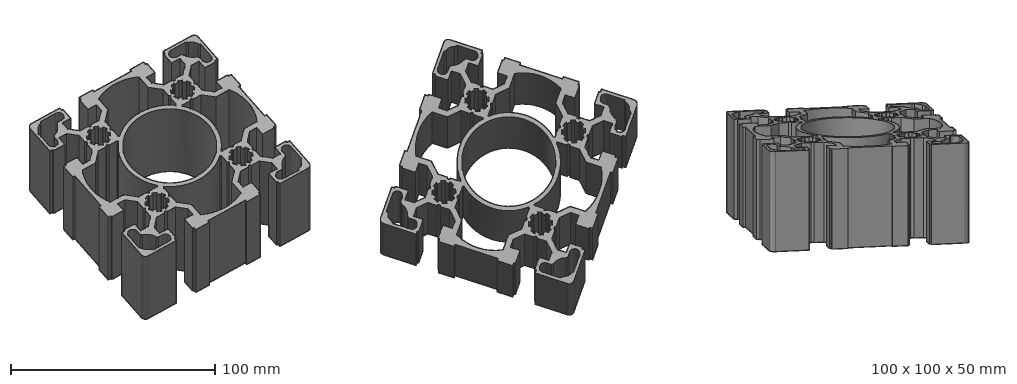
import cadquery as cq
import math

side = 100.0
length = 50.0
half = side / 2
core_offset = side / 4
outer_corner_radius = 2.4

mouth_half = 5.0
mouth_step_half = 5.8
mouth_step_depth = 1.6
slot_half = 10.0
corner_lip_depth = 8.3
middle_lip_depth = 8.6

core_width = 15.5
core_half = core_width / 2
web_thickness = 3.0
web_reach = web_thickness / math.sqrt(2)
groove_radius = 0.8
core_hole_radius = 5.9
core_tip_radius = 4.9
core_tooth_width = 2.2
core_tooth_count = 8

bore_diameter = 46.0
tube_radius = 25.3

chamber_half = 12.0
chamber_depth = 3.2
chamber_roof_radius = 25.2
recess_half = 11.1
recess_depth = 1.2

pocket_wall = 1.6
pocket_arm_width = 5.1
pocket_reach = 18.2
pocket_knee = 13.1
pocket_outer_start = 6.8
pocket_inner_flat = 1.2
pocket_inner_bulge = 0.8
pocket_outer_flat = 1.4
pocket_outer_bulge = 0.6


def prism(outline):
    """Extrude an open outline over the full length, closing it first."""
    return outline.close().extrude(length)


def on_all_sides(body):
    """Return the body together with its copies on the other three sides."""
    copies = body
    for quarter in range(1, 4):
        copies = copies.union(body.rotate((0, 0, 0), (0, 0, 1), 90 * quarter))
    return copies


def t_slots():
    """Two mirrored slots open to the +Y face, each with its thicker lip towards the middle."""
    floor = core_offset + core_half
    floor_half = core_half - web_reach
    shoulder = core_offset + slot_half + web_reach
    step = half - mouth_step_depth
    right_edge = [
        (groove_radius, floor),
        (floor_half, floor),
        (slot_half, shoulder),
        (slot_half, half - corner_lip_depth),
        (mouth_half, half - corner_lip_depth),
        (mouth_half, step),
        (mouth_step_half, step),
        (mouth_step_half, half),
    ]
    left_edge = [
        (-mouth_step_half, half),
        (-mouth_step_half, step),
        (-mouth_half, step),
        (-mouth_half, half - middle_lip_depth),
        (-slot_half, half - middle_lip_depth),
        (-slot_half, shoulder),
        (-floor_half, floor),
        (-groove_radius, floor),
    ]
    outline = cq.Workplane("XY").polyline(right_edge + left_edge)
    outline = outline.threePointArc((0, floor - groove_radius), right_edge[0])
    slot = prism(outline).translate((core_offset, 0, 0))
    return slot.union(slot.mirror("YZ"))


def side_chamber():
    """Chamber behind the middle of the +Y side; the tube later fills its inner end."""
    wall = core_offset - core_half
    bend = core_half - web_reach
    roof = half - chamber_depth
    roof_drop = chamber_roof_radius - math.sqrt(chamber_roof_radius**2 - chamber_half**2)
    right_edge = [
        (0, web_reach),
        (wall, core_offset - bend),
        (wall, core_offset + bend),
        (chamber_half, 2 * core_offset - chamber_half - web_reach),
        (chamber_half, roof - roof_drop),
    ]
    left_edge = [(-x, y) for x, y in reversed(right_edge[1:])]
    outline = cq.Workplane("XY").polyline(right_edge)
    outline = outline.threePointArc((0, roof), left_edge[0])
    for point in left_edge[1:]:
        outline = outline.lineTo(*point)
    groove_places = [(-wall, core_offset), (wall, core_offset)]
    grooves = cq.Workplane("XY").pushPoints(groove_places).circle(groove_radius).extrude(length)
    return prism(outline).union(grooves)


def side_recess():
    """Shallow recess along the middle of the +Y face."""
    recess = cq.Workplane("XY").rect(2 * recess_half, 2 * recess_depth).extrude(length)
    return recess.translate((0, half, 0))


def corner_pocket():
    """L-shaped pocket with rounded arm ends in the +X +Y corner."""
    arm_radius = pocket_arm_width / 2
    arm_inner = pocket_wall + pocket_arm_width
    arm_middle = pocket_wall + arm_radius
    arm_straight_end = pocket_reach - arm_radius
    inner_flat = pocket_inner_flat / math.sqrt(2)
    outer_flat = pocket_outer_flat / math.sqrt(2)
    inner_middle = (pocket_knee + arm_inner) / 2 + pocket_inner_bulge / math.sqrt(2)
    outer_middle = (pocket_outer_start + pocket_wall) / 2 - pocket_outer_bulge / math.sqrt(2)

    outline = (
        cq.Workplane("XY")
        .moveTo(pocket_outer_start, pocket_wall)
        .lineTo(arm_straight_end, pocket_wall)
        .threePointArc((pocket_reach, arm_middle), (arm_straight_end, arm_inner))
        .lineTo(pocket_knee, arm_inner)
        .lineTo(pocket_knee - inner_flat, arm_inner + inner_flat)
        .threePointArc(
            (inner_middle, inner_middle),
            (arm_inner + inner_flat, pocket_knee - inner_flat),
        )
        .lineTo(arm_inner, pocket_knee)
        .lineTo(arm_inner, arm_straight_end)
        .threePointArc((arm_middle, pocket_reach), (pocket_wall, arm_straight_end))
        .lineTo(pocket_wall, pocket_outer_start)
        .lineTo(pocket_wall + outer_flat, pocket_outer_start - outer_flat)
        .threePointArc(
            (outer_middle, outer_middle),
            (pocket_outer_start - outer_flat, pocket_wall + outer_flat),
        )
    )
    return prism(outline).rotate((0, 0, 0), (0, 0, 1), 180).translate((half, half, 0))


def core_hole():
    """Splined screw hole in the +X +Y core: a round hole with parallel-sided teeth."""
    hole = cq.Workplane("XY").circle(core_hole_radius).extrude(length)
    tooth = (
        cq.Workplane("XY")
        .polarArray(core_hole_radius, 0, 360, core_tooth_count)
        .rect(core_hole_radius, core_tooth_width)
        .extrude(length)
    )
    tip_circle = cq.Workplane("XY").circle(core_tip_radius).extrude(length)
    return hole.cut(tooth).union(tip_circle).translate((core_offset, core_offset, 0))


profile = cq.Workplane("XY").rect(side, side).extrude(length).edges("|Z").fillet(outer_corner_radius)
for hollow in (t_slots(), side_chamber(), side_recess(), corner_pocket(), core_hole()):
    profile = profile.cut(on_all_sides(hollow))

tube = cq.Workplane("XY").circle(tube_radius).extrude(length)
bore = cq.Workplane("XY").circle(bore_diameter / 2).extrude(length)

result = profile.union(tube).cut(bore)